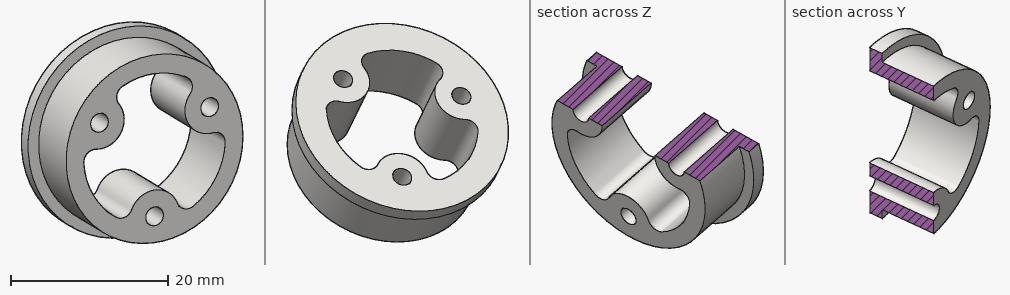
import cadquery as cq

flange_diameter = 28.0
flange_thickness = 2.0
body_diameter = 25.0
total_length = 10.0
bore_diameter = 20.0
lug_count = 3
lug_radius = 3.5
lug_circle_radius = 9.0
lug_hole_diameter = 2.5
bore_corner_radius = 1.5
first_lug_angle = -90.0


def cylinders_at_lugs(diameter):
    """Full-length cylinders centred on every screw lug."""
    return (
        cq.Workplane("YZ")
        .polarArray(lug_circle_radius, first_lug_angle, 360, lug_count)
        .circle(diameter / 2)
        .extrude(total_length)
    )


def make_ring():
    """Solid body with a flange at its -X end."""
    flange = cq.Workplane("YZ").circle(flange_diameter / 2).extrude(flange_thickness)
    body = cq.Workplane("YZ").circle(body_diameter / 2).extrude(total_length)
    return flange.union(body)


def make_bore():
    """Through opening: a round bore less the lugs, with rounded corners."""
    bore = cq.Workplane("YZ").circle(bore_diameter / 2).extrude(total_length)
    pocket = bore.cut(cylinders_at_lugs(2 * lug_radius))
    return pocket.edges("|X").fillet(bore_corner_radius)


result = make_ring().cut(make_bore()).cut(cylinders_at_lugs(lug_hole_diameter))